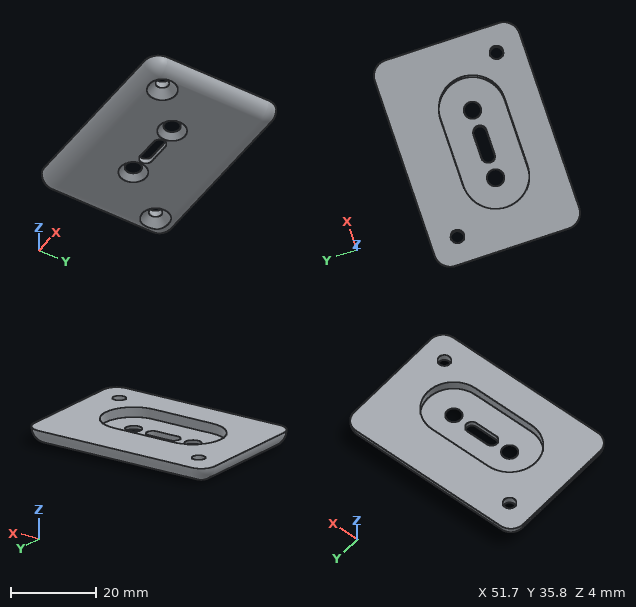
import cadquery as cq

plate_length = 51.72
plate_width = 35.81
plate_thickness = 4.0
rim_height = 0.1
edge_radius = plate_thickness - rim_height

recess_offset_y = -1.74
end_spacing = 17.0
recess_width = 15.8
recess_depth = 2.5
slot_length = 9.2
slot_width = 3.2
floor_hole_diameter = 4.0
floor_sink_depth = plate_thickness - recess_depth

mount_hole_diameter = 3.2
mount_hole_x = 19.36
mount_hole_y = 11.33
mount_sink_depth = 2.05


def make_plate():
    """Rounded rectangle with its top face at Z = 0 and a rounded lower edge."""
    plate = (
        cq.Workplane("XY")
        .rect(plate_length, plate_width)
        .extrude(-plate_thickness)
        .edges("|Z")
        .fillet(edge_radius)
    )
    return plate.faces("<Z").edges().fillet(edge_radius)


def make_slot(length, width, depth):
    """Round-ended cutter along X on the recess centreline, reaching down from the top."""
    return (
        cq.Workplane("XY")
        .center(0, recess_offset_y)
        .slot2D(length, width)
        .extrude(-depth)
    )


def make_countersunk_hole(centre, diameter, sink_depth):
    """Through hole cutter with a 90 degree countersink opening at the underside."""
    radius = diameter / 2
    sink_top = sink_depth - plate_thickness
    profile = (
        cq.Workplane("XZ")
        .moveTo(0, 0)
        .lineTo(radius, 0)
        .lineTo(radius, sink_top)
        .lineTo(radius + sink_depth, -plate_thickness)
        .lineTo(0, -plate_thickness)
        .close()
    )
    return profile.revolve(360, (0, 0, 0), (0, 1, 0)).translate((*centre, 0))


result = (
    make_plate()
    .cut(make_slot(end_spacing + recess_width, recess_width, recess_depth))
    .cut(make_slot(slot_length, slot_width, plate_thickness))
)
for side in (-1, 1):
    floor_centre = (side * end_spacing / 2, recess_offset_y)
    mount_centre = (side * mount_hole_x, -side * mount_hole_y)
    result = result.cut(make_countersunk_hole(floor_centre, floor_hole_diameter, floor_sink_depth))
    result = result.cut(make_countersunk_hole(mount_centre, mount_hole_diameter, mount_sink_depth))